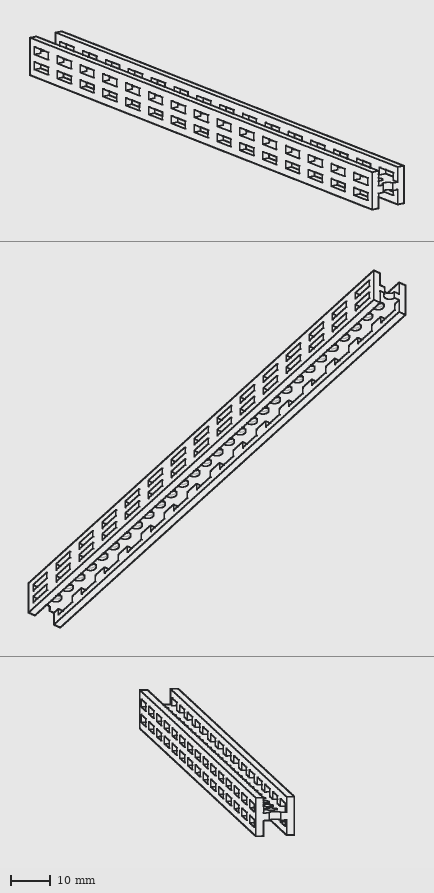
import cadquery as cq

length = 150.0
slot_columns = 15
channel_width = 6.0
slot_length = 6.0
hole_diameter = 3.0

slot_pitch = length / slot_columns
section_size = slot_pitch
wall = (section_size - channel_width) / 2
channel_depth = (section_size - wall) / 2

slot_height = wall
slot_offset = (wall + slot_height) / 2

hole_pitch = slot_pitch / 2
hole_count = 2 * slot_columns + 1


def h_beam():
    """Square bar with a channel along the top and another along the bottom."""
    beam = cq.Workplane("XY").box(length, section_size, section_size)
    channel = cq.Workplane("XY").box(length, channel_width, channel_depth)
    channel_offset = (wall + channel_depth) / 2
    for side in (-1, 1):
        beam = beam.cut(channel.translate((0, 0, side * channel_offset)))
    return beam


def slot_row(height):
    """One row of rectangular slots through both flanges, centred at the given Z."""
    return (
        cq.Workplane("XZ")
        .center(0, height)
        .rarray(slot_pitch, 1.5, slot_columns, 1)
        .rect(slot_length, slot_height)
        .extrude(section_size, both=True)
    )


def web_holes():
    """One row of round holes through the web."""
    return (
        cq.Workplane("XY")
        .rarray(hole_pitch, 1.5, hole_count, 1)
        .circle(hole_diameter / 2)
        .extrude(wall, both=True)
    )


result = (
    h_beam()
    .cut(slot_row(slot_offset))
    .cut(slot_row(-slot_offset))
    .cut(web_holes())
)